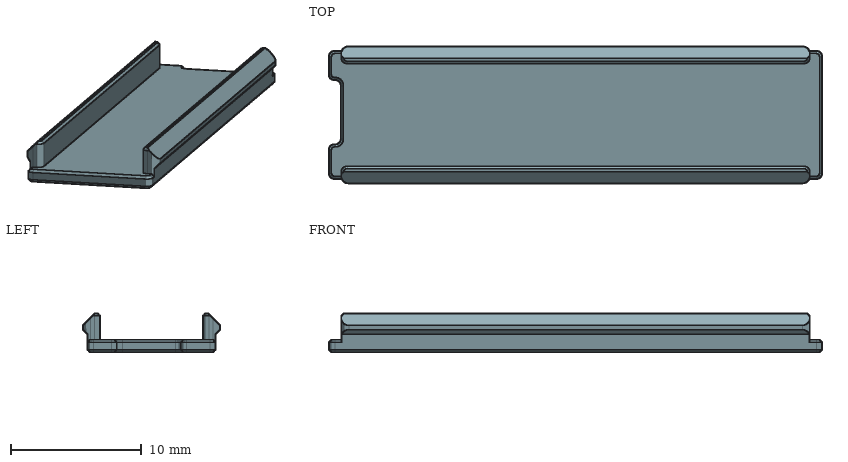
import cadquery as cq

plate_length = 37.8
plate_width = 9.83
plate_thickness = 1.0
plate_corner_radius = 0.45
edge_chamfer = 0.208

notch_width = 4.9
notch_depth = 0.9
notch_offset = 0.208
notch_radius = 0.4

total_width = 10.5
total_height = 3.0
rail_end_inset = 0.95
rail_inner_y = 3.95
rail_outer_radius = 0.55
rail_inner_radius = 0.45
rail_top_chamfer = 0.2
barb_tip_top = 2.08
barb_tip_height = 0.35

rail_length = plate_length - 2 * rail_end_inset
rail_base_z = plate_thickness / 2


def make_plate():
    """Plate with rounded corners, an end notch and chamfered rims."""
    plate = (
        cq.Workplane("XY")
        .rect(plate_length, plate_width)
        .extrude(plate_thickness)
        .edges("|Z")
        .fillet(plate_corner_radius)
    )
    notch = (
        cq.Workplane("XY")
        .center(-plate_length / 2, notch_offset)
        .rect(2 * notch_depth, notch_width)
        .extrude(plate_thickness)
    )
    plate = plate.cut(notch)
    for x in (-plate_length / 2, -plate_length / 2 + notch_depth):
        for side in (-1, 1):
            y = notch_offset + side * notch_width / 2
            corner = cq.selectors.NearestToPointSelector((x, y, plate_thickness / 2))
            plate = plate.edges("|Z").edges(corner).fillet(notch_radius)
    return plate.faces("<Z or >Z").edges().chamfer(edge_chamfer)


def make_rail():
    """Rail on the +Y side: a barbed section trimmed to a round-ended plan."""
    tip_y = total_width / 2
    wall_y = plate_width / 2
    crest_y = tip_y - (total_height - barb_tip_top)
    tip_bottom = barb_tip_top - barb_tip_height
    barb_root_z = tip_bottom - (tip_y - wall_y)
    section = (
        cq.Workplane("YZ")
        .polyline([
            (rail_inner_y, rail_base_z),
            (wall_y, rail_base_z),
            (wall_y, barb_root_z),
            (tip_y, tip_bottom),
            (tip_y, barb_tip_top),
            (crest_y, total_height),
            (rail_inner_y, total_height),
        ])
        .close()
        .extrude(rail_length / 2, both=True)
    )
    plan = (
        cq.Workplane("XY")
        .workplane(offset=rail_base_z)
        .center(0, (rail_inner_y + tip_y) / 2)
        .rect(rail_length, tip_y - rail_inner_y)
        .extrude(total_height - rail_base_z)
        .edges("|Z and >Y")
        .fillet(rail_outer_radius)
        .edges("|Z and <Y")
        .fillet(rail_inner_radius)
        .faces(">Z")
        .edges()
        .chamfer(rail_top_chamfer)
    )
    return plan.intersect(section)


rail = make_rail()
result = make_plate().union(rail).union(rail.mirror("XZ"))